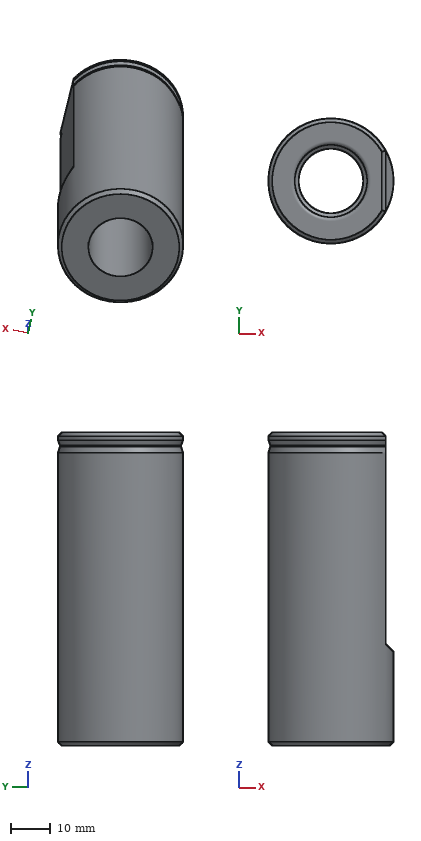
import cadquery as cq

length = 80
outer_radius = 32 / 2
edge_chamfer = 1.0

groove_start = 2.0
groove_floor_start = 3.3
groove_floor_end = 3.8
groove_end = 5.2
groove_depth = 0.5

bore_radius = 16.4 / 2
counterbore_radius = 18.5 / 2
counterbore_depth = 5.0
mouth_round = 1.0
seat_height = 0.8

flat_x = 14.0
flat_runout_z = 24
flat_bottom_z = flat_runout_z + outer_radius - flat_x


def make_body():
    """Round bar with the flat, chamfered around both end faces."""
    body = cq.Workplane("XY").circle(outer_radius).extrude(length)
    flat_cut = (
        cq.Workplane("XZ")
        .moveTo(outer_radius, flat_runout_z)
        .lineTo(flat_x, flat_bottom_z)
        .lineTo(flat_x, length)
        .lineTo(outer_radius, length)
        .close()
        .extrude(outer_radius, both=True)
    )
    return body.cut(flat_cut).faces("<Z or >Z").edges().chamfer(edge_chamfer)


def make_groove():
    """Ring with sloping sides and a narrow cylindrical floor."""
    floor_radius = outer_radius - groove_depth
    clear_radius = outer_radius + groove_depth
    return (
        cq.Workplane("XZ")
        .moveTo(outer_radius, length - groove_start)
        .lineTo(floor_radius, length - groove_floor_start)
        .lineTo(floor_radius, length - groove_floor_end)
        .lineTo(outer_radius, length - groove_end)
        .lineTo(clear_radius, length - groove_end)
        .lineTo(clear_radius, length - groove_start)
        .close()
        .revolve(360, (0, 0, 0), (0, 1, 0))
    )


def make_bore():
    """Through bore with a conical seat, a counterbore and a rounded mouth."""
    seat_z = length - counterbore_depth
    return (
        cq.Workplane("XZ")
        .lineTo(bore_radius, 0)
        .lineTo(bore_radius, seat_z - seat_height)
        .lineTo(counterbore_radius, seat_z)
        .lineTo(counterbore_radius, length - mouth_round)
        .radiusArc((counterbore_radius + mouth_round, length), mouth_round)
        .lineTo(0, length)
        .close()
        .revolve(360, (0, 0, 0), (0, 1, 0))
    )


result = make_body().cut(make_groove()).cut(make_bore())